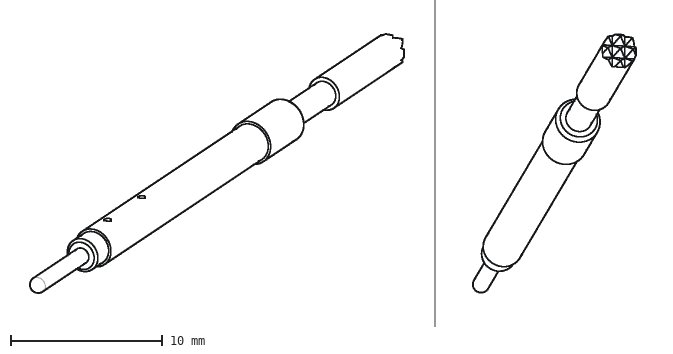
import cadquery as cq
import math

overall_length = 49.8

pin_radius = 0.55
pin_dome_height = 0.5

ferrule_start = 6.55
ferrule_radius = 1.15
ferrule_chamfer_length = 0.15
ferrule_chamfer_width = 0.2

barrel_start = 8.2
barrel_diameter = 2.65
barrel_radius = barrel_diameter / 2
collar_radius = 1.5
collar_length = 5.0
collar_end = 35.05
collar_chamfer_length = 0.35
collar_chamfer_width = 0.25
collar_start = collar_end - collar_length

plunger_diameter = 1.75
plunger_radius = plunger_diameter / 2
head_radius = 1.15
head_length = 9.5
head_start = overall_length - head_length

teeth_per_row = 3
tooth_pitch = 0.85
groove_angle = 60.0
groove_depth = tooth_pitch / 2 / math.tan(math.radians(groove_angle / 2))
groove_offsets = [(i - teeth_per_row / 2) * tooth_pitch for i in range(teeth_per_row + 1)]

dimple_radius = 0.25
dimple_depth = 0.25
dimple_positions = [10.2, 14.95]


def turned_body():
    """Revolve the stepped half-profile (radius, Y) about the Y axis."""
    dome_radius = (pin_radius**2 + pin_dome_height**2) / (2 * pin_dome_height)
    dome_mid_angle = math.asin(pin_radius / dome_radius) / 2
    dome_mid = (
        dome_radius * math.sin(dome_mid_angle),
        dome_radius * (1 - math.cos(dome_mid_angle)),
    )
    return (
        cq.Workplane("XY")
        .moveTo(0, 0)
        .threePointArc(dome_mid, (pin_radius, pin_dome_height))
        .lineTo(pin_radius, ferrule_start)
        .lineTo(ferrule_radius - ferrule_chamfer_width, ferrule_start)
        .lineTo(ferrule_radius, ferrule_start + ferrule_chamfer_length)
        .lineTo(ferrule_radius, barrel_start)
        .lineTo(barrel_radius, barrel_start)
        .lineTo(barrel_radius, collar_start)
        .lineTo(collar_radius, collar_start)
        .lineTo(collar_radius, collar_end - collar_chamfer_length)
        .lineTo(collar_radius - collar_chamfer_width, collar_end)
        .lineTo(plunger_radius, collar_end)
        .lineTo(plunger_radius, head_start)
        .lineTo(head_radius, head_start)
        .lineTo(head_radius, overall_length)
        .lineTo(0, overall_length)
        .close()
        .revolve(360, (0, 0, 0), (0, 1, 0))
    )


def tooth_groove(offset):
    """V-groove running along Z, centred at the given X offset."""
    return (
        cq.Workplane("XY")
        .moveTo(offset - tooth_pitch / 2, overall_length)
        .lineTo(offset, overall_length - groove_depth)
        .lineTo(offset + tooth_pitch / 2, overall_length)
        .close()
        .extrude(2 * head_radius, both=True)
    )


def crimp_dimple(position):
    """Blind round dimple entering the barrel from +Z."""
    return (
        cq.Workplane("XY", origin=(0, position, barrel_radius - dimple_depth))
        .circle(dimple_radius)
        .extrude(2 * dimple_depth)
    )


result = turned_body()

for groove_offset in groove_offsets:
    groove = tooth_groove(groove_offset)
    result = result.cut(groove)
    result = result.cut(groove.rotate((0, 0, 0), (0, 1, 0), 90))

for dimple_position in dimple_positions:
    result = result.cut(crimp_dimple(dimple_position))